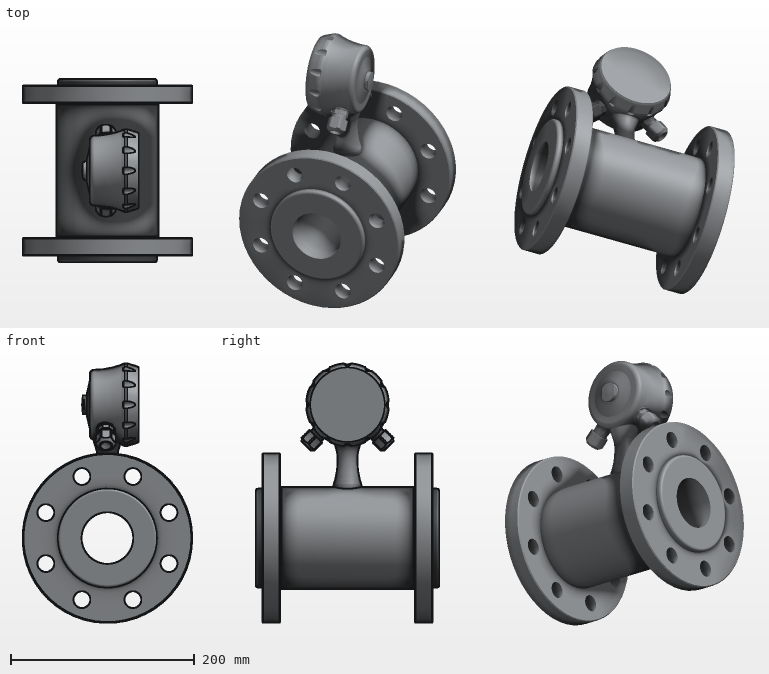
import cadquery as cq
import math

TOTAL_HEIGHT = 282.8

BODY_LENGTH = 200.0
PIPE_D = 111.7
BORE_D = 56.0
FLANGE_D = 185.0
FLANGE_T = 19.8
FLANGE_CHAMFER = 1.0
HUB_D = 110.8
HUB_T = 1.5
FACE_D = 108.0
FACE_T = 7.0
FACE_ROUND = 3.0
BOLT_COUNT = 8
BOLT_CIRCLE_D = 145.0
BOLT_D = 18.0
FLANGE_INNER_Y = BODY_LENGTH / 2 - FACE_T - FLANGE_T

FOOT_R = 15.5
FOOT_RING_R = 15.0
FOOT_RING_Z = 59.0
COLLAR_R = 14.0
COLLAR_Z = 61.6
SHOULDER_R = 13.0
SHOULDER_Z = 66.2
WAIST_R = 11.0
WAIST_Z = 83.0
WAIST_TOP_Z = 87.5
THROAT_R = 12.0
THROAT_Z = 95.3
NECK_TOP_R = 16.5
NECK_TOP_Z = 110.3

BACK_X = -19.2
BACK_R = 38.2
BACK_ROUND = 5.0
BACK_FLAT_R = 26.0
CONE_X = -21.8
CONE_R = 15.3
LID_X = 15.3
LID_EDGE_R = 43.5
RIM_X = 18.7
RIM_R = 45.2
RIM_T = 2.8
LID_SHOULDER_X = 32.0
LID_SHOULDER_D = 83.7
LID_FRONT_X = 34.2
LID_FRONT_D = 81.2

PLUG_SEAT_X = -22.5
PLUG_SEAT_D = 23.5
PLUG_D = 21.0
PLUG_END_X = -27.0
PLUG_TIP_X = -27.7
PLUG_FLAT_X = -25.2
PLUG_ACROSS_FLATS = 18.0

NOTCH_COUNT = 12
NOTCH_R = 4.2
NOTCH_FLOOR_R = 42.5
NOTCH_START_X = 16.7
NOTCH_CHAMFER = 1.0
NOTCH_CIRCLE_R = NOTCH_FLOOR_R + NOTCH_R

CORNER_COSINE = (RIM_R**2 + NOTCH_CIRCLE_R**2 - NOTCH_R**2) / (2 * RIM_R * NOTCH_CIRCLE_R)
HEAD_Z = TOTAL_HEIGHT - FLANGE_D / 2 - RIM_R * CORNER_COSINE

GLAND_X = -1.7
GLAND_ANGLE = 45
SPOT_FACE_D = 21.0
SPOT_FACE_DISTANCE = 38.5
OCTAGON_ACROSS_FLATS = 16.7
OCTAGON_END = 44.0
GLAND_COLLAR_D = 16.0
NUT_ACROSS_FLATS = 19.8
NUT_D = 21.8
NUT_START = 48.5
NUT_END = 63.5
NUT_BEVEL = 3.7
CABLE_HOLE_D = 12.0


def cylinder_y(diameter, length):
    """Cylinder along Y, centred on the origin."""
    return cq.Workplane("XZ").circle(diameter / 2).extrude(length / 2, both=True)


def flange():
    """Flange at the -Y end, with its raised sealing face and bolt holes."""
    inner_face = cq.Workplane("XZ", origin=(0, -FLANGE_INNER_Y, 0))
    disc = inner_face.circle(FLANGE_D / 2).extrude(FLANGE_T).edges().chamfer(FLANGE_CHAMFER)
    sealing_face = (
        inner_face.circle(FACE_D / 2)
        .extrude(FLANGE_T + FACE_T)
        .faces("<Y")
        .edges()
        .fillet(FACE_ROUND)
    )
    bolt_holes = (
        inner_face.polarArray(BOLT_CIRCLE_D / 2, 180 / BOLT_COUNT, 360, BOLT_COUNT)
        .circle(BOLT_D / 2)
        .extrude(FLANGE_T)
    )
    return disc.union(sealing_face).cut(bolt_holes)


def flanged_pipe():
    """Pipe with a slightly smaller hub next to each flange; the bore is cut later."""
    hubs = cylinder_y(HUB_D, 2 * FLANGE_INNER_Y)
    pipe = cylinder_y(PIPE_D, 2 * (FLANGE_INNER_Y - HUB_T))
    near_flange = flange()
    return pipe.union(hubs).union(near_flange).union(near_flange.mirror("XZ"))


def arc_middle(upright_r, upright_z, end_r, end_z):
    """Middle point of an arc that starts parallel to Z at one end and flares to the other."""
    rise = end_z - upright_z
    run = end_r - upright_r
    radius = (rise**2 + run**2) / (2 * run)
    bulge = radius - math.sqrt(radius**2 - (rise / 2) ** 2)
    return (upright_r + bulge, upright_z + rise / 2)


def neck():
    """Stem turned about Z, from inside the pipe wall up into the head."""
    root_z = (PIPE_D + BORE_D) / 4
    return (
        cq.Workplane("XZ")
        .moveTo(0, root_z)
        .lineTo(FOOT_R, root_z)
        .lineTo(FOOT_R, PIPE_D / 2)
        .lineTo(FOOT_RING_R, FOOT_RING_Z)
        .lineTo(COLLAR_R, COLLAR_Z)
        .lineTo(SHOULDER_R, SHOULDER_Z)
        .threePointArc(arc_middle(WAIST_R, WAIST_Z, SHOULDER_R, SHOULDER_Z), (WAIST_R, WAIST_Z))
        .lineTo(WAIST_R, WAIST_TOP_Z)
        .threePointArc(arc_middle(WAIST_R, WAIST_TOP_Z, THROAT_R, THROAT_Z), (THROAT_R, THROAT_Z))
        .lineTo(NECK_TOP_R, NECK_TOP_Z)
        .lineTo(NECK_TOP_R, HEAD_Z)
        .lineTo(0, HEAD_Z)
        .close()
        .revolve(360, (0, 0, 0), (0, 1, 0))
    )


def head_body():
    """Plug, housing and lid turned about X."""
    return (
        cq.Workplane("XZ")
        .moveTo(PLUG_TIP_X, 0)
        .lineTo(PLUG_END_X, PLUG_D / 2)
        .lineTo(PLUG_SEAT_X, PLUG_D / 2)
        .lineTo(PLUG_SEAT_X, PLUG_SEAT_D / 2)
        .lineTo(CONE_X, CONE_R)
        .lineTo(BACK_X, BACK_FLAT_R)
        .lineTo(BACK_X, BACK_R - BACK_ROUND)
        .tangentArcPoint((BACK_X + BACK_ROUND, BACK_R), relative=False)
        .tangentArcPoint((LID_X, LID_EDGE_R), relative=False)
        .lineTo(RIM_X, RIM_R)
        .lineTo(RIM_X + RIM_T, RIM_R)
        .lineTo(LID_SHOULDER_X, LID_SHOULDER_D / 2)
        .lineTo(LID_FRONT_X, LID_FRONT_D / 2)
        .lineTo(LID_FRONT_X, 0)
        .close()
        .revolve(360, (0, 0, 0), (1, 0, 0))
    )


def plug_flats():
    """Two blocks to cut away, leaving wrench flats on the plug end."""
    offset = (PLUG_ACROSS_FLATS + PLUG_D) / 2
    return (
        cq.Workplane("YZ", origin=(PLUG_TIP_X, 0, 0))
        .pushPoints([(-offset, 0), (offset, 0)])
        .rect(PLUG_D, PLUG_D)
        .extrude(PLUG_FLAT_X - PLUG_TIP_X)
    )


def lid_notches():
    """Ring of rods along X that cut teardrop notches into the sloping lid rim."""
    return (
        cq.Workplane("YZ", origin=(NOTCH_START_X, 0, 0))
        .polarArray(NOTCH_CIRCLE_R, 0, 360, NOTCH_COUNT)
        .circle(NOTCH_R)
        .extrude(LID_FRONT_X - NOTCH_START_X)
        .faces("<X")
        .edges()
        .chamfer(NOTCH_CHAMFER)
    )


def gland_prism(sides, across_flats, start, end):
    """Regular prism pointing down from the head axis, with two flats facing -Y and +Y."""
    corner_d = across_flats / math.cos(math.pi / sides)
    turn = 90 - 180 / sides
    prism = cq.Workplane("XY", origin=(0, 0, -end)).polygon(sides, corner_d).extrude(end - start)
    return prism.rotate((0, 0, 0), (0, 0, 1), turn)


def gland_rod(diameter, start, end):
    """Round rod pointing down from the head axis."""
    return cq.Workplane("XY", origin=(0, 0, -end)).circle(diameter / 2).extrude(end - start)


def gland():
    """Cable gland pointing straight down: boss, octagon, collar and bevelled hexagon nut."""
    nut_blank = gland_rod(NUT_D, NUT_START, NUT_END).faces("<Z").edges().chamfer(NUT_BEVEL)
    nut = gland_prism(6, NUT_ACROSS_FLATS, NUT_START, NUT_END).intersect(nut_blank)
    return (
        gland_rod(SPOT_FACE_D, BACK_R - BACK_ROUND, SPOT_FACE_DISTANCE)
        .union(gland_prism(8, OCTAGON_ACROSS_FLATS, SPOT_FACE_DISTANCE, OCTAGON_END))
        .union(gland_rod(GLAND_COLLAR_D, OCTAGON_END, NUT_START))
        .union(nut)
        .cut(gland_rod(CABLE_HOLE_D, NUT_START, NUT_END))
    )


def placed_gland(shape, side):
    """Swing a gland shape about the head axis towards -Y or +Y."""
    return shape.rotate((0, 0, 0), (1, 0, 0), side * GLAND_ANGLE).translate((GLAND_X, 0, 0))


def head():
    """Complete head with both cable glands on their spot faces."""
    body = head_body().cut(plug_flats()).cut(lid_notches())
    spot_face = gland_rod(SPOT_FACE_D, SPOT_FACE_DISTANCE, NUT_START)
    for side in (-1, 1):
        body = body.cut(placed_gland(spot_face, side)).union(placed_gland(gland(), side))
    return body.translate((0, 0, HEAD_Z))


bore = cylinder_y(BORE_D, BODY_LENGTH)
result = flanged_pipe().union(neck()).union(head()).cut(bore)